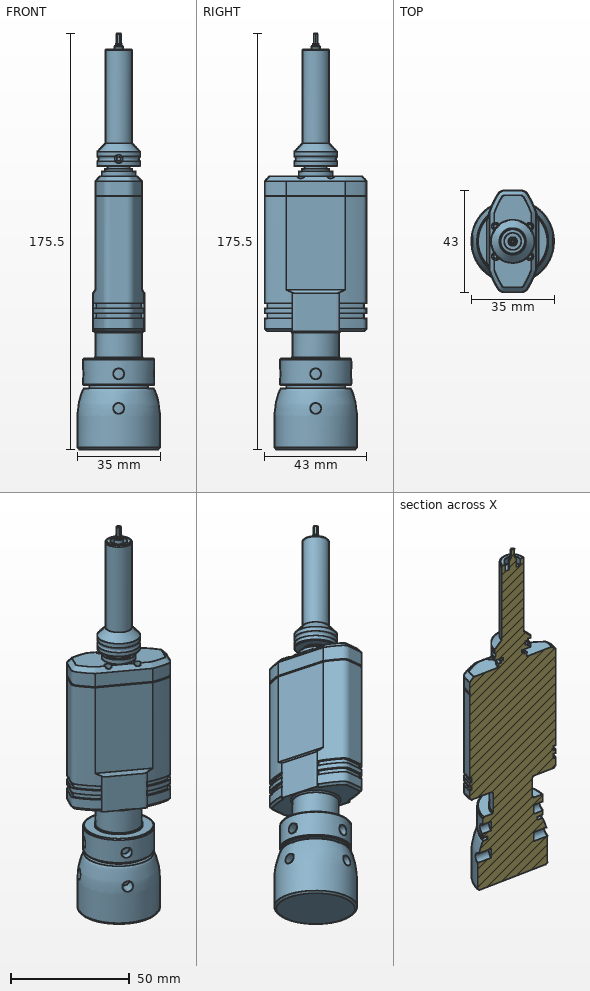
import cadquery as cq
import math

total_height = 175.5
body_length = 43.0

foot_diameter = 35.0
foot_radius = foot_diameter / 2
foot_height = 14.2
foot_chamfer = 0.9
dome_top_radius = 15.3
dome_top_z = 25.0
dome_bulge = 0.5
shoulder_radius = 14.7
shoulder_z = 25.8
neck_radius = 12.5
collar_radius = 15.1
collar_bottom_z = 27.0
collar_top_z = 38.5
collar_chamfer = 0.5
step_radius = 10.2
step_top_z = 39.0
stem_radius = 9.8
stem_flare = 0.7

bar_hole_radius = 2.3
bar_hole_depth = 4.4
bar_hole_heights = (17.4, 32.0)

body_bottom_z = 49.9
body_top_z = 115.3
body_half_width = 9.8
flat_half_length = 12.5
end_half_width = 5.3
cheek_radius = 36.9
corner_radius = 3.3
body_top_chamfer = 2.1
body_bottom_chamfer = 1.0
seam_z = 107.0
seam_width = 0.4
seam_depth = 0.2

pad_half_width = 10.9
foot_half_width = 10.7
pad_half_length = 9.8
pad_face_half_length = 8.6
pad_top_z = 67.5
pad_shoulder_drop = 1.5

groove_width = 2.1
groove_depth = 1.0
groove_bottom_heights = (55.3, 59.5)

screw_x = 7.2
screw_y = 6.3
screw_pocket_radius = 1.5
screw_pocket_depth = 3.5
screw_hole_radius = 0.9
screw_hole_depth = 5.3

disc_radius = 7.2
disc_top_z = 117.3
ring_radius = 5.8
ring_top_z = 118.3
hub_neck_radius = 4.7
hub_radius = 9.1
hub_bottom_z = 119.4
hub_groove_radius = 8.6
hub_groove_bottom_z = 121.5
hub_groove_top_z = 123.6
hub_top_z = 125.5
hub_chamfer = 0.4
set_screw_radius = 1.8
set_screw_depth = 1.4
set_screw_socket_radius = 0.9
set_screw_socket_depth = 2.8
set_screw_z = 122.5

tube_radius = 5.6
tube_root_z = 129.2
tube_root_chamfer = 0.5
tube_top_z = 168.9
tube_chamfer = 0.5
bore_diameter = 7.2
bore_radius = bore_diameter / 2
bore_depth = 3.5
collet_root_diameter = 3.7
collet_root_radius = collet_root_diameter / 2
collet_waist_z = 170.0
collet_radius = 1.32
collet_top_z = 171.2
tip_width = 2.1
tip_chamfer = 0.4


def make_base():
    """Turned base, its dome swelling outwards above the straight foot."""
    return (
        cq.Workplane("XZ")
        .moveTo(0, 0)
        .lineTo(foot_radius - foot_chamfer, 0)
        .lineTo(foot_radius, foot_chamfer)
        .lineTo(foot_radius, foot_height)
        .sagittaArc((dome_top_radius, dome_top_z), -dome_bulge)
        .lineTo(shoulder_radius, shoulder_z)
        .lineTo(neck_radius, shoulder_z)
        .lineTo(neck_radius, collar_bottom_z)
        .lineTo(collar_radius - collar_chamfer, collar_bottom_z)
        .lineTo(collar_radius, collar_bottom_z + collar_chamfer)
        .lineTo(collar_radius, collar_top_z - collar_chamfer)
        .lineTo(collar_radius - collar_chamfer, collar_top_z)
        .lineTo(step_radius, collar_top_z)
        .lineTo(step_radius, step_top_z)
        .lineTo(stem_radius, step_top_z)
        .lineTo(stem_radius, body_bottom_z - stem_flare)
        .lineTo(stem_radius + stem_flare, body_bottom_z)
        .lineTo(0, body_bottom_z)
        .close()
        .revolve(360, (0, 0, 0), (0, 1, 0))
    )


def bar_holes():
    """Four blind radial holes at each height, all ending at the same distance from the axis."""
    holes = cq.Workplane("XY")
    for height in bar_hole_heights:
        for plane in ("XZ", "YZ"):
            circle = cq.Workplane(plane).center(0, height).circle(bar_hole_radius)
            holes = holes.add(circle.extrude(foot_radius, both=True))
    core = cq.Workplane("XY").circle(collar_radius - bar_hole_depth).extrude(collar_top_z)
    return holes.combine().cut(core)


def polar(center, radius, angle):
    """Point at a distance and angle from a centre."""
    return (center[0] + radius * math.cos(angle), center[1] + radius * math.sin(angle))


def body_outline(height, half_width, inset=0.0):
    """Elongated outline: flat sides, gently curved cheeks, narrow ends and rounded corners.

    The cheek passes through the end of the flat and the sharp end corner; the corner is
    then rounded tangent to cheek and end. A larger half width runs the cheek on further
    before the flat, and an inset moves the whole outline inwards.
    """
    half_length = body_length / 2
    flat_end = (body_half_width, flat_half_length)
    sharp_corner = (end_half_width, half_length)
    half_chord = math.dist(flat_end, sharp_corner) / 2
    chord_normal = math.atan2(body_half_width - end_half_width, half_length - flat_half_length)
    chord_middle = ((flat_end[0] + sharp_corner[0]) / 2, (flat_end[1] + sharp_corner[1]) / 2)
    cheek_center = polar(chord_middle, -math.sqrt(cheek_radius**2 - half_chord**2), chord_normal)

    corner_y = half_length - corner_radius
    rise = corner_y - cheek_center[1]
    corner_x = cheek_center[0] + math.sqrt((cheek_radius - corner_radius) ** 2 - rise**2)
    tangent_angle = math.atan2(rise, corner_x - cheek_center[0])

    flat_x = half_width - inset
    cheek_inset_radius = cheek_radius - inset
    flat_angle = math.acos((flat_x - cheek_center[0]) / cheek_inset_radius)
    flat_point = polar(cheek_center, cheek_inset_radius, flat_angle)
    cheek_middle = polar(cheek_center, cheek_inset_radius, (flat_angle + tangent_angle) / 2)
    tangent_point = polar(cheek_center, cheek_inset_radius, tangent_angle)

    corner_center = (corner_x, corner_y)
    corner_inset_radius = corner_radius - inset
    corner_middle = polar(corner_center, corner_inset_radius, (tangent_angle + math.pi / 2) / 2)
    end_point = (corner_x, half_length - inset)

    outline = cq.Workplane("XY", origin=(0, 0, height)).moveTo(flat_x, -flat_point[1])
    for side in (1, -1):
        def turned(point, mirror=1):
            return (side * mirror * point[0], side * point[1])

        outline = (
            outline.lineTo(*turned(flat_point))
            .threePointArc(turned(cheek_middle), turned(tangent_point))
            .threePointArc(turned(corner_middle), turned(end_point))
            .lineTo(*turned(end_point, -1))
            .threePointArc(turned(corner_middle, -1), turned(tangent_point, -1))
            .threePointArc(turned(cheek_middle, -1), turned(flat_point, -1))
        )
    return outline.close().val()


def body_layer(half_width, bottom_z, top_z, bottom_inset=0.0, top_inset=0.0):
    """Slice of the body; different insets below and above make its sides slope."""
    outlines = [
        body_outline(bottom_z, half_width, bottom_inset),
        body_outline(top_z, half_width, top_inset),
    ]
    return cq.Workplane(cq.Solid.makeLoft(outlines, True))


def grooved_layers(half_width, bottom_z, top_z, grooves):
    """Straight slices with an inset slice at each (bottom, width, depth) groove."""
    layers = cq.Workplane("XY")
    layer_bottom = bottom_z
    for groove_bottom, width, depth in grooves:
        groove_top = groove_bottom + width
        layers = layers.add(body_layer(half_width, layer_bottom, groove_bottom))
        layers = layers.add(body_layer(half_width, groove_bottom, groove_top, depth, depth))
        layer_bottom = groove_top
    return layers.add(body_layer(half_width, layer_bottom, top_z)).combine()


def make_lower_body():
    """Wider, grooved foot of the body with a pad on each flat side and sloped shoulders."""
    bevel_top = body_bottom_z + body_bottom_chamfer
    grooves = [(z, groove_width, groove_depth) for z in groove_bottom_heights]
    bevel = body_layer(foot_half_width, body_bottom_z, bevel_top, bottom_inset=body_bottom_chamfer)
    lower_body = bevel.union(grooved_layers(foot_half_width, bevel_top, pad_top_z, grooves))

    half_outline = [
        (foot_half_width, -pad_half_length),
        (pad_half_width, -pad_face_half_length),
        (pad_half_width, pad_face_half_length),
        (foot_half_width, pad_half_length),
    ]
    other_half = [(-x, -y) for x, y in half_outline]
    pads = (
        cq.Workplane("XY", origin=(0, 0, body_bottom_z))
        .polyline(half_outline + other_half)
        .close()
        .extrude(pad_top_z - body_bottom_z)
    )

    shoulder_profile = [
        (-body_half_width, pad_top_z),
        (-pad_half_width, pad_top_z - pad_shoulder_drop),
        (-pad_half_width, body_bottom_z),
        (pad_half_width, body_bottom_z),
        (pad_half_width, pad_top_z - pad_shoulder_drop),
        (body_half_width, pad_top_z),
    ]
    shoulders = cq.Workplane("XZ").polyline(shoulder_profile).close().extrude(body_length, both=True)
    return lower_body.union(pads).intersect(shoulders)


def make_upper_body():
    """Plain upper body with a fine seam groove, a bevelled top and its screw pockets."""
    bevel_bottom = body_top_z - body_top_chamfer
    seam = (seam_z - seam_width / 2, seam_width, seam_depth)
    upper_body = grooved_layers(body_half_width, pad_top_z, bevel_bottom, [seam])
    bevel = body_layer(body_half_width, bevel_bottom, body_top_z, top_inset=body_top_chamfer)
    return upper_body.union(bevel).cut(screw_pockets())


def screw_pockets():
    """Four stepped pockets that break out through the bevelled top edges."""
    places = [(x, y) for x in (-screw_x, screw_x) for y in (-screw_y, screw_y)]
    top = cq.Workplane("XY", origin=(0, 0, body_top_z)).pushPoints(places)
    pockets = top.circle(screw_pocket_radius).extrude(-screw_pocket_depth)
    return pockets.union(top.circle(screw_hole_radius).extrude(-screw_hole_depth))


def make_hub_and_tube():
    """Turned hub and bored tube, with a stepped set-screw hole in the hub's -Y side."""
    hub_groove_middle_z = (hub_groove_bottom_z + hub_groove_top_z) / 2
    turned = (
        cq.Workplane("XZ")
        .moveTo(0, body_top_z)
        .lineTo(disc_radius, body_top_z)
        .lineTo(disc_radius, disc_top_z)
        .lineTo(ring_radius, disc_top_z)
        .lineTo(ring_radius, ring_top_z)
        .lineTo(hub_neck_radius, ring_top_z)
        .lineTo(hub_neck_radius, hub_bottom_z)
        .lineTo(hub_radius - hub_chamfer, hub_bottom_z)
        .lineTo(hub_radius, hub_bottom_z + hub_chamfer)
        .lineTo(hub_radius, hub_groove_bottom_z)
        .threePointArc((hub_groove_radius, hub_groove_middle_z), (hub_radius, hub_groove_top_z))
        .lineTo(hub_radius, hub_top_z)
        .lineTo(tube_radius + tube_root_chamfer, tube_root_z - tube_root_chamfer)
        .lineTo(tube_radius, tube_root_z)
        .lineTo(tube_radius, tube_top_z - tube_chamfer)
        .lineTo(tube_radius - tube_chamfer, tube_top_z)
        .lineTo(bore_radius, tube_top_z)
        .lineTo(bore_radius, tube_top_z - bore_depth)
        .lineTo(0, tube_top_z - bore_depth)
        .close()
        .revolve(360, (0, 0, 0), (0, 1, 0))
    )
    hub_front = cq.Workplane("XZ", origin=(0, -hub_radius, set_screw_z))
    set_screw_hole = hub_front.circle(set_screw_radius).extrude(-set_screw_depth)
    socket = hub_front.circle(set_screw_socket_radius).extrude(-set_screw_socket_depth)
    return turned.cut(set_screw_hole).cut(socket)


def make_tip():
    """Stepped collet standing in the tube bore, carrying a hexagonal driver tip."""
    floor_z = tube_top_z - bore_depth
    collet = (
        cq.Workplane("XZ")
        .moveTo(0, floor_z)
        .lineTo(collet_root_radius, floor_z)
        .lineTo(collet_root_radius, collet_waist_z)
        .lineTo(collet_radius, collet_waist_z + collet_root_radius - collet_radius)
        .lineTo(collet_radius, collet_top_z)
        .lineTo(0, collet_top_z)
        .close()
        .revolve(360, (0, 0, 0), (0, 1, 0))
    )
    driver = (
        cq.Workplane("XY", origin=(0, 0, collet_top_z))
        .polygon(6, tip_width)
        .extrude(total_height - collet_top_z)
        .faces(">Z")
        .chamfer(tip_chamfer)
    )
    return collet.union(driver)


base = make_base().cut(bar_holes())
body = base.union(make_lower_body()).union(make_upper_body())
result = body.union(make_hub_and_tube()).union(make_tip())